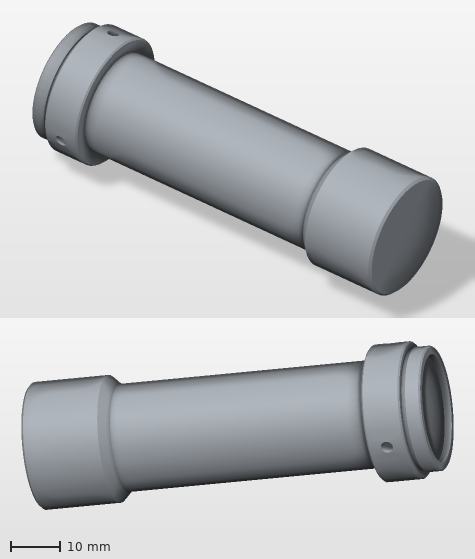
import cadquery as cq

length = 83.9
lip_end = 3.1
collar_start = 4.0
collar_end = 12.0
cone_start = 65.7
cone_end = 67.8

lip_radius = 12.75
groove_radius = 12.3
collar_radius = 14.0
tube_radius = 11.0
head_radius = 13.0

lip_chamfer = 0.3
collar_chamfer = 0.3
head_chamfer = 0.5

lens_radius = 11.0
lens_seat_depth = 1.5
lens_bulge = 0.5
lens_sphere_radius = (lens_radius**2 + lens_bulge**2) / (2 * lens_bulge)

hole_diameter = 2.5
hole_depth = 2.0
hole_x = 8.0
hole_count = 3
first_hole_angle = 70.0


def make_body():
    """Revolve the stepped half section, including the lens seat, about X."""
    profile = (
        cq.Workplane("XY")
        .moveTo(length, 0)
        .lineTo(lens_seat_depth - lens_bulge, 0)
        .radiusArc((lens_seat_depth, lens_radius), lens_sphere_radius)
        .lineTo(0, lens_radius)
        .lineTo(0, lip_radius - lip_chamfer)
        .lineTo(lip_chamfer, lip_radius)
        .lineTo(lip_end, lip_radius)
        .lineTo(lip_end, groove_radius)
        .lineTo(collar_start, groove_radius)
        .lineTo(collar_start, collar_radius - collar_chamfer)
        .lineTo(collar_start + collar_chamfer, collar_radius)
        .lineTo(collar_end - collar_chamfer, collar_radius)
        .lineTo(collar_end, collar_radius - collar_chamfer)
        .lineTo(collar_end, tube_radius)
        .lineTo(cone_start, tube_radius)
        .lineTo(cone_end, head_radius)
        .lineTo(length - head_chamfer, head_radius)
        .lineTo(length, head_radius - head_chamfer)
        .close()
    )
    return profile.revolve(360, (0, 0, 0), (1, 0, 0))


def make_screw_hole(angle):
    """Cutter for one radial hole at the given angle around X."""
    return (
        cq.Workplane("XZ", origin=(hole_x, collar_radius - hole_depth, 0))
        .circle(hole_diameter / 2)
        .extrude(-2 * hole_depth)
        .rotate((0, 0, 0), (1, 0, 0), angle)
    )


result = make_body()
for index in range(hole_count):
    result = result.cut(make_screw_hole(first_hole_angle + index * 360 / hole_count))